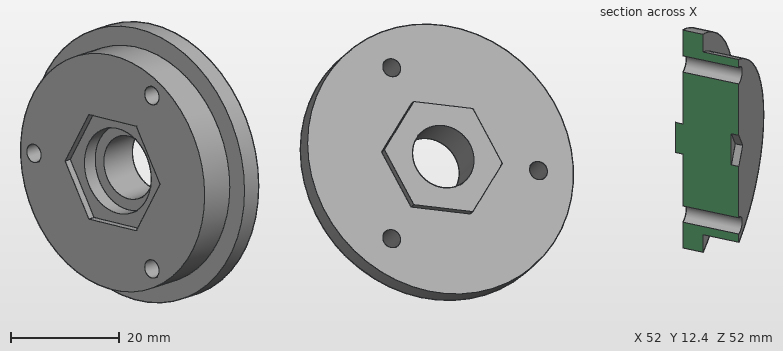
import cadquery as cq

body_length = 7.0
flange_thickness = 4.0
boss_height = 1.45
flange_back = body_length + flange_thickness
total_length = flange_back + boss_height

flange_diameter = 52.0
body_diameter = 44.8
bore_diameter = 12.0
counterbore_diameter = 16.2

hex_across_corners = 23.1
hex_recess_depth = boss_height
counterbore_depth = 3.0

mount_hole_diameter = 3.5
mount_circle_radius = 19.15
mount_hole_count = 3
first_hole_angle = 60


def plane_at(y):
    """Sketch plane at the given Y, extruding toward +Y."""
    return cq.Workplane(cq.Plane(origin=(0, y, 0), xDir=(1, 0, 0), normal=(0, 1, 0)))


def disc(diameter, start, length):
    return plane_at(start).circle(diameter / 2).extrude(length)


def hexagon(start, length):
    """Hexagonal prism with two corners on the X axis."""
    return plane_at(start).polygon(6, hex_across_corners).extrude(length)


def mounting_holes():
    return (
        plane_at(0)
        .polarArray(mount_circle_radius, first_hole_angle, 360, mount_hole_count)
        .circle(mount_hole_diameter / 2)
        .extrude(total_length)
    )


solid = disc(body_diameter, 0, body_length)
solid = solid.union(disc(flange_diameter, body_length, flange_thickness))
solid = solid.union(hexagon(flange_back, boss_height))

solid = solid.cut(hexagon(0, hex_recess_depth))
solid = solid.cut(disc(counterbore_diameter, hex_recess_depth, counterbore_depth))
solid = solid.cut(disc(bore_diameter, 0, total_length))
result = solid.cut(mounting_holes())